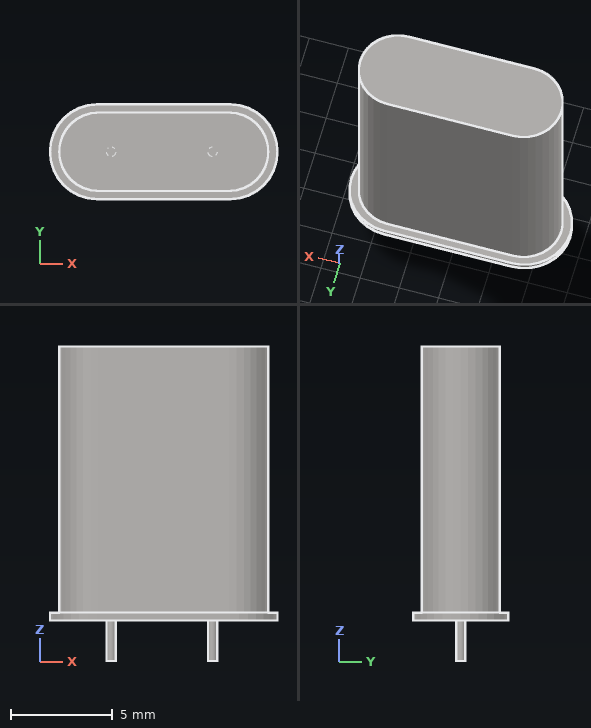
import cadquery as cq
import math

total_height = 15.46

flange_length = 11.18
flange_width = 4.67
flange_thickness = 0.39

can_length = 10.27
can_width = 3.85

pin_length = 2.0
pin_diameter = 0.46
pin_spacing = 4.98
pin_pair_offset = -0.1

facets_per_end = 16

flange_bottom = pin_length
flange_top = flange_bottom + flange_thickness
can_height = total_height - flange_top


def faceted_stadium(length, width, height, bottom):
    """Upright prism whose two half-round ends are divided into flat facets."""
    radius = width / 2
    end_center = (length - width) / 2
    facet_angle = math.pi / facets_per_end
    points = []
    for side in (1, -1):
        for step in range(facets_per_end + 1):
            angle = -math.pi / 2 + step * facet_angle
            x = side * (end_center + radius * math.cos(angle))
            y = side * radius * math.sin(angle)
            points.append((x, y))
    return cq.Workplane("XY").workplane(offset=bottom).polyline(points).close().extrude(height)


def make_pin(x):
    """Round lead pin from its tip up to the underside of the flange."""
    return cq.Workplane("XY").center(x, 0).circle(pin_diameter / 2).extrude(pin_length)


flange = faceted_stadium(flange_length, flange_width, flange_thickness, flange_bottom)
can = faceted_stadium(can_length, can_width, can_height, flange_top)

pins = []
for side in (-1, 1):
    pin = make_pin(pin_pair_offset + side * pin_spacing / 2)
    pins.append(pin.val())

result = cq.Compound.makeCompound([flange.val(), can.val(), *pins])